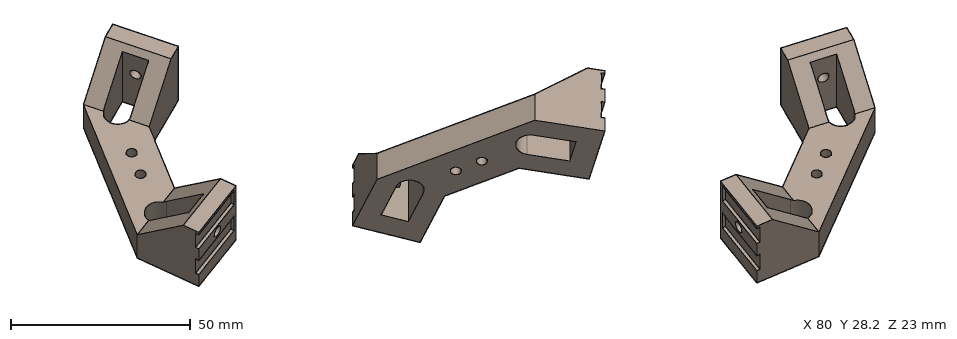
import cadquery as cq
import math

total_length = 80.0
total_height = 23.0
bar_height = 10.0

arm_size = 20.0
bend_angle = 41.4
top_land = 5.0

slot_width = 8.0
slot_start = 6.9
slot_round_center = 19.0

groove_height = 6.0
groove_depth = 1.0
groove_end_wall = 1.0
groove_bottoms = (5.0, 16.0)
end_hole_diameter = 3.4
end_hole_height = (groove_bottoms[0] + groove_height + groove_bottoms[1]) / 2

bar_hole_diameter = 3.0
bar_hole_spacing = 8.2

bend_cosine = math.cos(math.radians(bend_angle))
bar_depth = arm_size * bend_cosine
bar_front_length = total_length - 2 * arm_size * bend_cosine
bar_back_length = bar_front_length - 2 * arm_size * math.sin(math.radians(bend_angle))


def make_bar():
    """Trapezoidal bar whose slanted ends meet the arms squarely."""
    front = bar_front_length / 2
    back = bar_back_length / 2
    outline = [(-front, 0), (front, 0), (back, bar_depth), (-back, bar_depth)]
    bar = cq.Workplane("XY").polyline(outline).close().extrude(bar_height)
    holes = (
        cq.Workplane("XY")
        .pushPoints([(-bar_hole_spacing / 2, bar_depth / 2), (bar_hole_spacing / 2, bar_depth / 2)])
        .circle(bar_hole_diameter / 2)
        .extrude(bar_height)
    )
    return bar.cut(holes)


def make_arm():
    """Left arm before bending: end face at X = -arm_size, bend crease at X = 0."""
    profile = [
        (-arm_size, 0),
        (0, 0),
        (0, bar_height),
        (top_land - arm_size, total_height),
        (-arm_size, total_height),
    ]
    arm = cq.Workplane("XZ").polyline(profile).close().extrude(-arm_size)
    groove_length = arm_size - groove_end_wall
    for bottom in groove_bottoms:
        groove = cq.Workplane("XY").box(groove_depth, groove_length, groove_height, centered=False)
        arm = arm.cut(groove.translate((-arm_size, 0, bottom)))
    end_hole = (
        cq.Workplane("YZ", origin=(-arm_size, 0, 0))
        .center(arm_size / 2, end_hole_height)
        .circle(end_hole_diameter / 2)
        .extrude(slot_start)
    )
    return arm.cut(end_hole)


def make_slot():
    """Vertical slot with a square outer end and a round end that runs into the bar."""
    radius = slot_width / 2
    start = slot_start - arm_size
    end = slot_round_center - arm_size
    middle = arm_size / 2
    return (
        cq.Workplane("XY")
        .moveTo(start, middle - radius)
        .lineTo(end, middle - radius)
        .threePointArc((end + radius, middle), (end, middle + radius))
        .lineTo(start, middle + radius)
        .close()
        .extrude(total_height)
    )


def bend_into_place(body):
    """Swing a left-hand body about the front corner of the bar."""
    turned = body.rotate((0, 0, 0), (0, 0, 1), -bend_angle)
    return turned.translate((-bar_front_length / 2, 0, 0))


left_arm = bend_into_place(make_arm())
left_slot = bend_into_place(make_slot())

result = (
    make_bar()
    .union(left_arm)
    .union(left_arm.mirror("YZ"))
    .cut(left_slot)
    .cut(left_slot.mirror("YZ"))
)